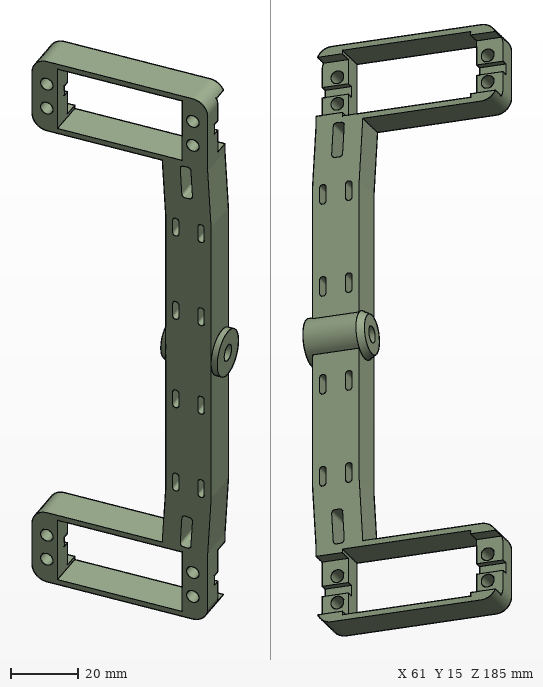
import cadquery as cq
import math

TOTAL_HEIGHT = 185.0
TOTAL_WIDTH = 61.0
BODY_DEPTH = 12.2

FRAME_WIDTH = 57.9
FRAME_HEIGHT = 24.6
CORNER_RADIUS = 5.0
WINDOW_WIDTH = 41.0
RAIL_THICKNESS = 1.75
FRAME_CENTER_X = FRAME_WIDTH / 2
FRAME_TOP_Z = TOTAL_HEIGHT / 2
FRAME_BOTTOM_Z = FRAME_TOP_Z - FRAME_HEIGHT
FRAME_CENTER_Z = FRAME_TOP_Z - FRAME_HEIGHT / 2

SCREW_HOLE_DIAMETER = 4.0
SCREW_SPACING_X = 48.1
SCREW_SPACING_Z = 8.5

RECESS_HEIGHT = 18.9
RECESS_DEPTH = 5.0
NOTCH_HEIGHT = 3.3
NOTCH_DEPTH = 2.4

SPINE_WIDTH = 15.0
LEAN_ANGLE = 3.3
BEND_Z = 48.1
LEAN_HEIGHT = FRAME_BOTTOM_Z - BEND_Z
LEAN_SHIFT = LEAN_HEIGHT * math.tan(math.radians(LEAN_ANGLE))
SPINE_RIGHT_X = FRAME_WIDTH + LEAN_SHIFT
SPINE_LEFT_X = SPINE_RIGHT_X - SPINE_WIDTH

LEAN_SLOT_LENGTH = 11.1
LEAN_SLOT_WIDTH = 3.5
LEAN_SLOT_CORNER_RADIUS = 1.1
LEAN_SLOT_X = 50.9
LEAN_SLOT_Z = 62.2

SMALL_SLOT_LENGTH = 6.3
SMALL_SLOT_WIDTH = 2.0
SMALL_SLOT_INSET = 3.3
SMALL_SLOT_HEIGHTS = (15.7, 45.3)

BOSS_DIAMETER = 15.0
BOSS_LENGTH = 19.2
BOSS_BORE = 5.2
BOSS_BEVEL_LENGTH = 2.2
BOSS_BEVEL_STEP = 1.3
BOSS_LEFT_X = TOTAL_WIDTH - BOSS_LENGTH


def front_plane(x, z):
    """Workplane on the front face, centred at (x, z), whose normal points toward -Y."""
    return cq.Workplane("XZ", origin=(x, 0, z))


def back_cut(height, depth):
    """Block running across the full frame width, cut into the back of the posts."""
    return (
        cq.Workplane("XY")
        .box(FRAME_WIDTH, depth, height)
        .translate((FRAME_CENTER_X, BODY_DEPTH - depth / 2, FRAME_CENTER_Z))
    )


def make_frame_blank():
    """Frame block with three round corners; the fourth runs into the spine."""
    block = front_plane(FRAME_CENTER_X, FRAME_CENTER_Z).rect(FRAME_WIDTH, FRAME_HEIGHT).extrude(-BODY_DEPTH)
    return block.edges("|Y and (<X or >Z)").fillet(CORNER_RADIUS)


def make_frame_cuts():
    """Window, screw holes, back recess and notch of the upper frame."""
    center = front_plane(FRAME_CENTER_X, FRAME_CENTER_Z)
    window = center.rect(WINDOW_WIDTH, FRAME_HEIGHT - 2 * RAIL_THICKNESS).extrude(-BODY_DEPTH)
    holes = (
        center.rect(SCREW_SPACING_X, SCREW_SPACING_Z, forConstruction=True)
        .vertices()
        .circle(SCREW_HOLE_DIAMETER / 2)
        .extrude(-BODY_DEPTH)
    )
    recess = back_cut(RECESS_HEIGHT, RECESS_DEPTH)
    notch = back_cut(NOTCH_HEIGHT, RECESS_DEPTH + NOTCH_DEPTH)
    return window.union(holes).union(recess).union(notch)


def make_half_spine():
    """Upper half of the spine: a straight stretch, then a stretch leaning toward -X."""
    outline = [
        (SPINE_LEFT_X, 0),
        (SPINE_RIGHT_X, 0),
        (SPINE_RIGHT_X, BEND_Z),
        (SPINE_RIGHT_X - LEAN_SHIFT, FRAME_BOTTOM_Z),
        (SPINE_LEFT_X - LEAN_SHIFT, FRAME_BOTTOM_Z),
        (SPINE_LEFT_X, BEND_Z),
    ]
    return front_plane(0, 0).polyline(outline).close().extrude(-BODY_DEPTH)


def make_lean_slot():
    """Upright slot with rounded corners, through the depth and leaning with the spine end."""
    slot = front_plane(0, 0).rect(LEAN_SLOT_WIDTH, LEAN_SLOT_LENGTH).extrude(-BODY_DEPTH)
    slot = slot.edges("|Y").fillet(LEAN_SLOT_CORNER_RADIUS)
    return slot.rotate((0, 0, 0), (0, 1, 0), -LEAN_ANGLE).translate((LEAN_SLOT_X, 0, LEAN_SLOT_Z))


def make_small_slot(x, z):
    """Upright round-ended slot through the depth, centred at (x, z)."""
    return front_plane(x, z).slot2D(SMALL_SLOT_LENGTH, SMALL_SLOT_WIDTH, 90).extrude(-BODY_DEPTH)


def make_half_body():
    """Upper half of the part without the boss."""
    half = make_frame_blank().union(make_half_spine()).cut(make_frame_cuts())
    half = half.cut(make_lean_slot())
    for x in (SPINE_LEFT_X + SMALL_SLOT_INSET, SPINE_RIGHT_X - SMALL_SLOT_INSET):
        for z in SMALL_SLOT_HEIGHTS:
            half = half.cut(make_small_slot(x, z))
    return half


def boss_plane():
    """Workplane on the left end of the boss, on its axis and facing +X."""
    return cq.Workplane("YZ", origin=(BOSS_LEFT_X, BOSS_DIAMETER / 2, 0))


def make_boss():
    """Boss cylinder along X with its bevelled left end."""
    cylinder = boss_plane().circle(BOSS_DIAMETER / 2).extrude(BOSS_LENGTH)
    return cylinder.faces("<X").chamfer(BOSS_BEVEL_LENGTH, BOSS_BEVEL_STEP)


upper_half = make_half_body()
lower_half = upper_half.mirror("XY")
bore = boss_plane().circle(BOSS_BORE / 2).extrude(BOSS_LENGTH)
result = upper_half.union(lower_half).union(make_boss()).cut(bore)